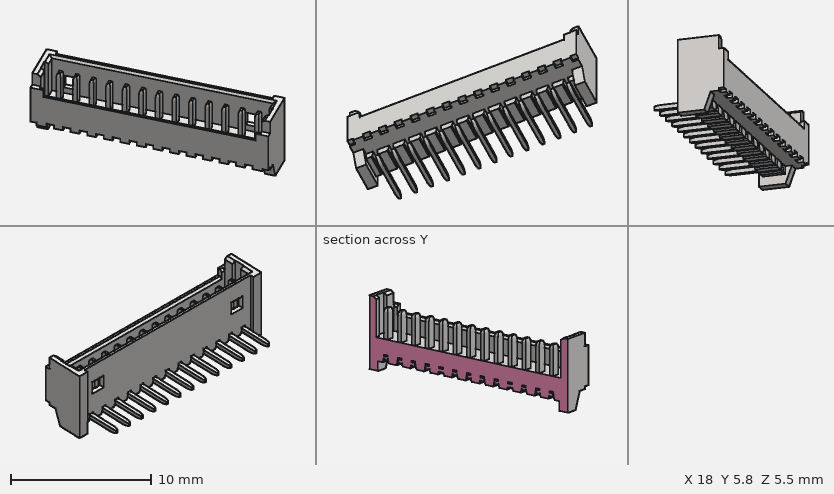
import cadquery as cq
import math


length = 18.0
height = 5.5
end_depth = 3.51
body_depth = 3.2
end_wall = 0.8
foot_front_top = 1.0
foot_front_bottom = 1.5
shelf_z = 1.31
body_bottom_z = 0.72
body_front_y = foot_front_bottom

front_wall = 0.4
back_wall_front_y = 2.8
cavity_end_gap = 0.65
floor_z = 2.5
rim_chamfer = 0.18
end_rim_chamfer = 0.25

shoulder_z = height - 1.0
front_rim_z = height - 1.6
shoulder_length = 0.95

key_front_y = 1.19
key_back_y = 2.05
key_end_gap = 0.36

window_width = 1.12
window_top_z = height - 1.48
window_bottom_z = height - 2.52

corner_recess_length = 0.45
corner_recess_height = 0.2
pin_recess_width = 0.58
pin_recess_height = 0.29

pin_count = 13
end_to_pin = 1.5
pin_width = 0.32
blade_front_y = 1.78
blade_back_y = 2.4
blade_top_z = height - 0.7
tail_bottom_z = 0.88
tail_thickness = 0.35
tail_end_y = 5.8
bend_radius = 0.9
blade_tip_length = 0.29
tail_tip_length = 0.49
blade_tip_inset = 0.13
tail_tip_inset = 0.05
side_tip_inset = 0.07
tip_bulge = 0.2

groove_mid_width = 0.43
groove_mouth_width = 0.6
groove_taper_z = 1.15
groove_mouth_height = 0.13

half_length = length / 2
cavity_half = half_length - cavity_end_gap
pitch = (length - 2 * end_to_pin) / (pin_count - 1)
pin_places = [-half_length + end_to_pin + i * pitch for i in range(pin_count)]


def block(x0, x1, y0, y1, z0, z1):
    """Box between two opposite corners."""
    return cq.Workplane("XY").box(x1 - x0, y1 - y0, z1 - z0, centered=False).translate((x0, y0, z0))


def along_x(x0, x1, outline):
    """Prism of a closed (Y, Z) outline from x0 to x1."""
    return outline.close().extrude(x1 - x0).translate((x0, 0, 0))


def both_ends(solid):
    """The solid together with its mirror image at the other end of the row."""
    return solid.union(solid.mirror("YZ"))


def outer_shell():
    body = block(-half_length, half_length, 0, body_depth, shelf_z, height)
    between_feet = half_length - end_wall
    lower_body = block(-between_feet, between_feet, body_front_y, body_depth, body_bottom_z, shelf_z)
    foot_outline = (
        cq.Workplane("YZ")
        .moveTo(foot_front_top, shelf_z)
        .lineTo(foot_front_bottom, 0)
        .lineTo(end_depth, 0)
        .lineTo(end_depth, height)
        .lineTo(foot_front_top, height)
    )
    end = along_x(-half_length, -half_length + end_wall, foot_outline)
    return body.union(lower_body).union(both_ends(end))


def cavity():
    cavity_depth = back_wall_front_y - front_wall
    middle_y = (back_wall_front_y + front_wall) / 2
    well = block(-cavity_half, cavity_half, front_wall, back_wall_front_y, floor_z, height)
    flare = (
        cq.Workplane("XY", origin=(0, middle_y, height))
        .rect(2 * (cavity_half + end_rim_chamfer), cavity_depth + 2 * rim_chamfer)
        .workplane(offset=-rim_chamfer)
        .rect(2 * cavity_half, cavity_depth)
        .loft(ruled=True)
    )
    key_slot = block(
        -half_length + key_end_gap, -cavity_half, key_front_y, key_back_y, floor_z, height
    )
    return well.union(flare).union(both_ends(key_slot))


def front_rim_cut(half_width, rim_z):
    """Lowers the front wall to rim_z and chamfers the inner edge that this leaves."""
    step = block(-half_width, half_width, 0, front_wall, rim_z, height)
    chamfer_half = min(half_width, cavity_half)
    chamfer_outline = (
        cq.Workplane("YZ")
        .moveTo(front_wall, rim_z)
        .lineTo(front_wall - rim_chamfer, rim_z)
        .lineTo(front_wall, rim_z - rim_chamfer)
    )
    return step.union(along_x(-chamfer_half, chamfer_half, chamfer_outline))


def window():
    """Opening through the back wall, midway between the first two pins."""
    middle_x = pin_places[0] + pitch / 2
    return block(
        middle_x - window_width / 2, middle_x + window_width / 2,
        back_wall_front_y, body_depth, window_bottom_z, window_top_z,
    )


def corner_recess():
    return block(
        -half_length, -half_length + corner_recess_length,
        0, front_wall, shelf_z, shelf_z + corner_recess_height,
    )


def pin_recess(x):
    half = pin_recess_width / 2
    return block(x - half, x + half, 0, front_wall, shelf_z, shelf_z + pin_recess_height)


def groove(x):
    """Channel under the body that widens downward to a flared mouth."""
    right_side = [
        (pin_width / 2, shelf_z),
        (pin_width / 2, groove_taper_z),
        (groove_mid_width / 2, body_bottom_z + groove_mouth_height),
        (groove_mouth_width / 2, body_bottom_z),
    ]
    left_side = [(-half_width, z) for half_width, z in reversed(right_side)]
    return (
        cq.Workplane("XZ")
        .polyline(right_side + left_side)
        .close()
        .extrude(-body_depth)
        .translate((x, 0, 0))
    )


def tip(width, thickness, inset_width, inset_thickness, tip_length):
    """Bar end along +Z from Z = 0, narrowing on all four sides with slightly bowed faces."""

    def side_profile(plane, size, inset, span):
        half = size / 2
        bowed = half - inset / 2 + inset * tip_bulge
        return (
            cq.Workplane(plane)
            .moveTo(-half, 0)
            .threePointArc((-bowed, tip_length / 2), (-half + inset, tip_length))
            .lineTo(half - inset, tip_length)
            .threePointArc((bowed, tip_length / 2), (half, 0))
            .close()
            .extrude(span / 2, both=True)
        )

    across_width = side_profile("XZ", width, inset_width, thickness)
    across_thickness = side_profile("YZ", thickness, inset_thickness, width)
    return across_width.intersect(across_thickness)


def pin():
    """L-shaped pin: upright blade, rounded outer bend and a tail toward +Y."""
    blade_shoulder_z = blade_top_z - blade_tip_length
    tail_shoulder_y = tail_end_y - tail_tip_length
    tail_top_z = tail_bottom_z + tail_thickness
    bend_centre_y = blade_front_y + bend_radius
    bend_centre_z = tail_bottom_z + bend_radius
    bend_offset = bend_radius * math.sqrt(0.5)
    outline = (
        cq.Workplane("YZ")
        .moveTo(blade_front_y, blade_shoulder_z)
        .lineTo(blade_front_y, bend_centre_z)
        .threePointArc(
            (bend_centre_y - bend_offset, bend_centre_z - bend_offset),
            (bend_centre_y, tail_bottom_z),
        )
        .lineTo(tail_shoulder_y, tail_bottom_z)
        .lineTo(tail_shoulder_y, tail_top_z)
        .lineTo(blade_back_y, tail_top_z)
        .lineTo(blade_back_y, blade_shoulder_z)
    )
    bar = along_x(-pin_width / 2, pin_width / 2, outline)
    blade_thickness = blade_back_y - blade_front_y
    blade_tip = tip(
        pin_width, blade_thickness, side_tip_inset, blade_tip_inset, blade_tip_length
    ).translate((0, blade_front_y + blade_thickness / 2, blade_shoulder_z))
    tail_tip = (
        tip(pin_width, tail_thickness, side_tip_inset, tail_tip_inset, tail_tip_length)
        .rotate((0, 0, 0), (1, 0, 0), -90)
        .translate((0, tail_shoulder_y, tail_bottom_z + tail_thickness / 2))
    )
    return bar.union(blade_tip).union(tail_tip)


housing = (
    outer_shell()
    .cut(cavity())
    .cut(front_rim_cut(half_length, shoulder_z))
    .cut(front_rim_cut(half_length - shoulder_length, front_rim_z))
    .cut(both_ends(window()))
    .cut(both_ends(corner_recess()))
)
for pin_x in pin_places:
    housing = housing.cut(pin_recess(pin_x)).cut(groove(pin_x))

result = housing
single_pin = pin()
for pin_x in pin_places:
    result = result.union(single_pin.translate((pin_x, 0, 0)))